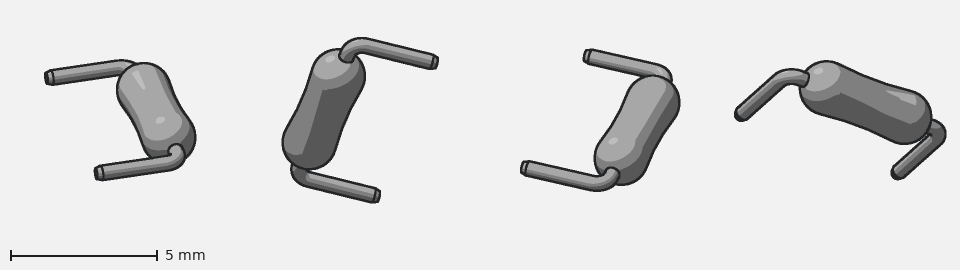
import cadquery as cq
import math

overall_length = 6.86
body_length = 4.995
end_radius = 0.92
waist_radius = 0.83
wire_diameter = 0.51
bend_radius = 0.495
lead_reach = 3.0
tip_length = 0.185
tip_inset = 0.06

wire_radius = wire_diameter / 2
lead_x = overall_length / 2 - wire_radius
end_center_x = body_length / 2 - end_radius


def make_body():
    """Revolve two round ends joined tangentially by one shallow concave arc."""
    waist_arc_radius = (waist_radius**2 + end_center_x**2 - end_radius**2) / (
        2 * (end_radius - waist_radius)
    )
    waist_arc_center_y = waist_arc_radius + waist_radius
    touch_ratio = end_radius / (waist_arc_radius + end_radius)
    touch_x = end_center_x * (1 - touch_ratio)
    touch_y = waist_arc_center_y * touch_ratio

    touch_angle = math.atan2(touch_y, touch_x - end_center_x)
    mid_x = end_center_x + end_radius * math.cos(touch_angle / 2)
    mid_y = end_radius * math.sin(touch_angle / 2)

    profile = (
        cq.Workplane("XY")
        .moveTo(-body_length / 2, 0)
        .threePointArc((-mid_x, mid_y), (-touch_x, touch_y))
        .threePointArc((0, waist_radius), (touch_x, touch_y))
        .threePointArc((mid_x, mid_y), (body_length / 2, 0))
        .close()
    )
    return profile.revolve(360, (0, 0), (1, 0))


def make_lead():
    """Sweep the +X lead from inside the body, round its bend, to a tapered tip."""
    bend_start_x = lead_x - bend_radius
    bend_mid_x = bend_start_x + bend_radius * math.sin(math.pi / 4)
    bend_mid_y = bend_radius * (math.cos(math.pi / 4) - 1)
    path = (
        cq.Workplane("XY")
        .moveTo(end_center_x, 0)
        .lineTo(bend_start_x, 0)
        .threePointArc((bend_mid_x, bend_mid_y), (lead_x, -bend_radius))
        .lineTo(lead_x, -lead_reach)
    )
    wire = cq.Workplane("YZ", origin=(end_center_x, 0, 0)).circle(wire_radius).sweep(path)
    return wire.faces("<Y").chamfer(tip_length, tip_inset)


lead = make_lead()
result = make_body().union(lead).union(lead.mirror("YZ"))